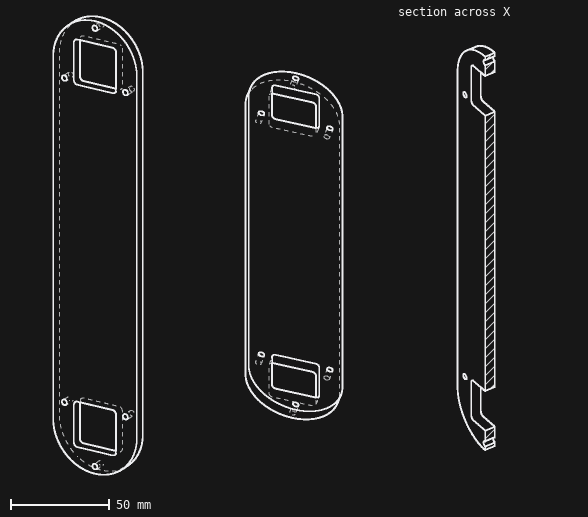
import cadquery as cq
import math

length = 250.0
width = 50.0
thickness = 6.0
end_center = (length - width) / 2

window_side = 25.0
window_corner_radius = 2.0

hole_diameter = 3.0
hole_circle_radius = 21.0
hole_count = 3


def hole_positions(end):
    """Hole centres at the top (end = 1) or bottom (end = -1) of the plate."""
    angles = [2 * math.pi * i / hole_count for i in range(hole_count)]
    return [
        (
            hole_circle_radius * math.sin(angle),
            end * (end_center + hole_circle_radius * math.cos(angle)),
        )
        for angle in angles
    ]


def through_cutter(sketch):
    """Extrude a sketch on the XZ plane through the whole plate thickness."""
    return sketch.extrude(thickness / 2, both=True)


def window(end):
    cutter = cq.Workplane("XZ").center(0, end * end_center).rect(window_side, window_side)
    return through_cutter(cutter).edges("|Y").fillet(window_corner_radius)


def screw_holes(end):
    circles = cq.Workplane("XZ").pushPoints(hole_positions(end)).circle(hole_diameter / 2)
    return through_cutter(circles)


result = cq.Workplane("XZ").slot2D(length, width, 90).extrude(thickness / 2, both=True)
for end in (1, -1):
    result = result.cut(window(end)).cut(screw_holes(end))